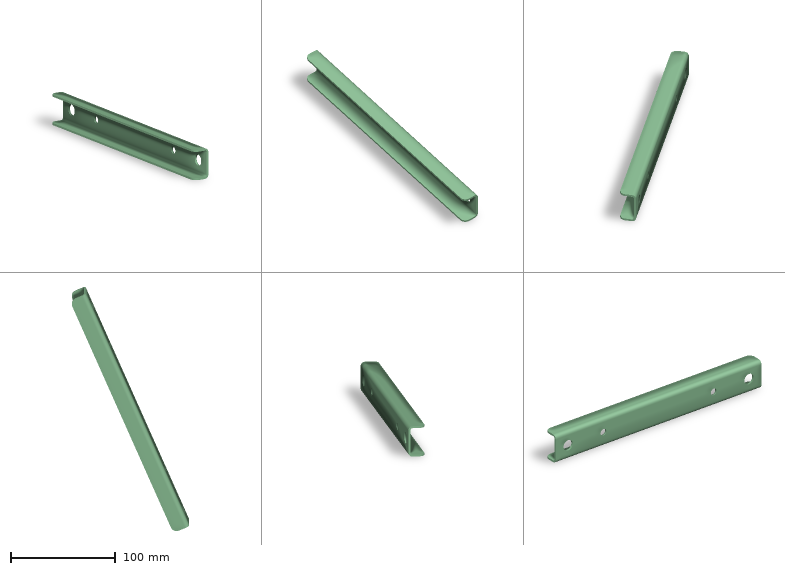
import cadquery as cq

length = 250.0
depth = 16.5
height = 30.0
thickness = 2.0
bend_outer_radius = 4.0
bend_inner_radius = bend_outer_radius - thickness
flange_corner_radius = 6.0

end_hole_diameter = 11.0
end_hole_spacing = 220.0
inner_hole_diameter = 7.0
inner_hole_spacing = 134.0


def make_channel():
    """Solid bar with rounded back edges, hollowed from the front."""
    bar = cq.Workplane("XY").box(length, depth, height)
    bar = bar.edges("|X and >Y").fillet(bend_outer_radius)
    hollow = cq.Workplane("XY").box(length, depth, height - 2 * thickness)
    hollow = hollow.edges("|X and >Y").fillet(bend_inner_radius)
    return bar.cut(hollow.translate((0, -thickness, 0)))


def round_flange_corners(channel):
    """Round the free corners of both flanges."""
    return channel.edges("|Z and <Y").fillet(flange_corner_radius)


def drill_web_pair(channel, diameter, spacing):
    """Drill two holes through the web, symmetric about the middle."""
    drills = (
        cq.Workplane("XZ")
        .pushPoints([(-spacing / 2, 0), (spacing / 2, 0)])
        .circle(diameter / 2)
        .extrude(depth, both=True)
    )
    return channel.cut(drills)


result = round_flange_corners(make_channel())
result = drill_web_pair(result, end_hole_diameter, end_hole_spacing)
result = drill_web_pair(result, inner_hole_diameter, inner_hole_spacing)